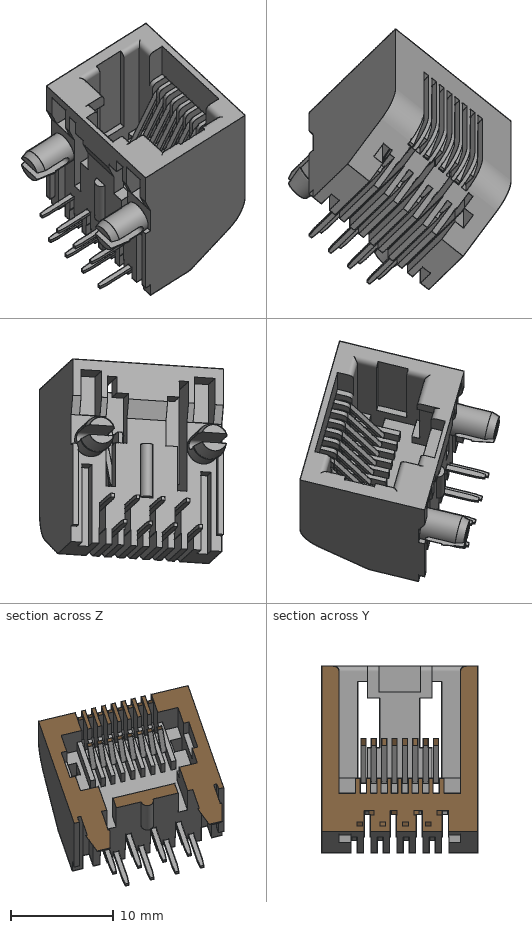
import cadquery as cq
import math


WIDTH = 15.25
DEPTH = 12.6
HEIGHT = 18.26
PANEL_Y = 0.62
FRONT_SLOPE_TOP = 14.59
FRONT_SLOPE_BOTTOM = 12.8
BOTTOM_REAR_Y = 5.62
REAR_SLOPE_TOP = 3.65
REAR_CORNER_RADIUS = 3.83

FLOOR_Z = 5.85
CAVITY_HALF_WIDTH = 5.92
CAVITY_FRONT_Y = 3.58
CAVITY_REAR_Y = 10.34
LEAD_IN_RADIUS = 0.55
SIDE_RECESS_FRONT_Y = 5.37
SIDE_RECESS_REAR_Y = 8.4
SIDE_RECESS_FLOOR = 7.3
LATCH_HALF_WIDTH = 3.15
LATCH_FRONT_Y = 1.86
LATCH_NOTCH_HALF_WIDTH = 2.0
LATCH_NOTCH_FRONT_Y = 0.45
LATCH_NOTCH_FLOOR = 15.7
CORNER_BLOCK_REAR_Y = 4.36
CORNER_BLOCK_TOP = 7.3
FLOOR_HOLE_INNER_X = 4.78
FLOOR_HOLE_FRONT_Y = 7.56
FLOOR_HOLE_REAR_Y = 8.97

CONTACT_COUNT = 8
COMB_SPAN = 7.1
COMB_SLOT_WIDTH = 0.6
COMB_HALF_WIDTH = 4.35
COMB_FRONT_Y = 5.59
COMB_REAR_Y = 11.95
COMB_TOP = 14.05
RIB_TOP = 7.3
COMB_SLOT_BOTTOM = 2.37

WINDOW_OUTER_X = 4.09
WINDOW_INNER_X = 1.97
WINDOW_OUTER_TOP = 16.75
WINDOW_INNER_TOP = 15.12
WINDOW_INNER_BOTTOM = 10.28
POCKET_INNER_X = 4.71
POCKET_OUTER_X = 6.77
POCKET_BOTTOM = 12.84
POCKET_TOP = 17.24
POCKET_REAR_Y = 2.55
EDGE_RIB_WIDTH = 0.57
EDGE_RIB_BOTTOM = 1.57
EDGE_RIB_TOP = 9.79
GROOVE_INNER_X = 5.5
GROOVE_OUTER_X = 6.54
GROOVE_TOP = 7.9
GROOVE_DEPTH = 1.46
BEAD_RADIUS = 0.62
BEAD_BOTTOM = 4.93
BEAD_TOP = 10.25

PEG_X = 5.7
PEG_Z = 10.26
PEG_RADIUS = 1.57
PEG_TIP_Y = -3.76
PEG_TIP_RADIUS = 1.31
PEG_TAPER_Y = -2.98
BARB_RADIUS = 1.66
BARB_FRONT_Y = -1.79
BARB_REAR_Y = -1.65
PEG_SLOT_WIDTH = 0.97

CONTACT_WIDTH = 0.51
CONTACT_THICKNESS = 0.37
PIN_SPAN = 8.9
PIN_TIP_Y = -3.29
PIN_TAPER_Y = -2.5
PIN_TIP_WIDTH = 0.35
UPPER_ROW_Z = 3.75
LOWER_ROW_Z = 1.19
CHANNEL_WIDTH = 0.58
CHANNEL_MOUTH_WIDTH = 0.71
CHANNEL_REAR_Y = 10.23
HUMP_RADIUS = 0.73
HUMP_TOP_Z = 12.93
HUMP_FRONT_Y = 11.01
BEAM_ANGLE = math.radians(59)
BEAM_LENGTH = 6.52
LEG_BEND_Z = 5.66
UPPER_HEEL_Y = 11.32
LOWER_HEEL_Y = 10.5
LOWER_FOOT_Z = 2.65
JOG_REAR_Y = 10.05
JOG_FRONT_Y = 8.76
RAMP_FRONT_Y = 6.57


def box(x_range, y_range, z_range):
    """Axis-aligned box between the given limits."""
    (x0, x1), (y0, y1), (z0, z1) = x_range, y_range, z_range
    return cq.Workplane("XY").box(x1 - x0, y1 - y0, z1 - z0, centered=False).translate((x0, y0, z0))


def side_profile(points, x_center, width):
    """Closed outline of (y, z) points, extruded along X about x_center."""
    return cq.Workplane("YZ", origin=(x_center, 0, 0)).polyline(points).close().extrude(width / 2, both=True)


def both_sides(solid):
    """A solid together with its mirror image across the YZ plane."""
    return solid.union(solid.mirror("YZ"))


def centered_positions(span):
    """Evenly spaced X positions, one per contact, that cover the span about X = 0."""
    pitch = span / (CONTACT_COUNT - 1)
    return [i * pitch - span / 2 for i in range(CONTACT_COUNT)]


def is_upper(index):
    """Pins alternate between the upper and the lower row."""
    return index % 2 == 0


COMB_XS = centered_positions(COMB_SPAN)
PIN_XS = centered_positions(PIN_SPAN)


def make_shell():
    outline = [
        (0, HEIGHT),
        (0, FRONT_SLOPE_TOP),
        (PANEL_Y, FRONT_SLOPE_BOTTOM),
        (PANEL_Y, 0),
        (BOTTOM_REAR_Y, 0),
        (DEPTH, REAR_SLOPE_TOP),
        (DEPTH, HEIGHT),
    ]
    shell = side_profile(outline, 0, WIDTH)
    rear_corner = cq.selectors.NearestToPointSelector((0, DEPTH, REAR_SLOPE_TOP))
    return shell.edges(rear_corner).fillet(REAR_CORNER_RADIUS)


def cut_plug_cavity(body):
    cavity_x = (-CAVITY_HALF_WIDTH, CAVITY_HALF_WIDTH)
    body = body.cut(box(cavity_x, (CAVITY_FRONT_Y, CAVITY_REAR_Y), (FLOOR_Z, HEIGHT)))
    rim_reach = 0.18
    rim = cq.selectors.BoxSelector(
        (-CAVITY_HALF_WIDTH - rim_reach, CAVITY_FRONT_Y - rim_reach, HEIGHT - rim_reach),
        (CAVITY_HALF_WIDTH + rim_reach, CAVITY_REAR_Y + rim_reach, HEIGHT + rim_reach),
    )
    body = body.edges(rim).fillet(LEAD_IN_RADIUS)

    recess_half_width = CAVITY_HALF_WIDTH + LEAD_IN_RADIUS
    body = body.cut(box(
        (-recess_half_width, recess_half_width),
        (SIDE_RECESS_FRONT_Y, SIDE_RECESS_REAR_Y),
        (SIDE_RECESS_FLOOR, HEIGHT),
    ))
    corner_block = box(
        (-CAVITY_HALF_WIDTH, -WINDOW_OUTER_X),
        (CAVITY_FRONT_Y, CORNER_BLOCK_REAR_Y),
        (FLOOR_Z, CORNER_BLOCK_TOP),
    )
    floor_hole = box(
        (-CAVITY_HALF_WIDTH, -FLOOR_HOLE_INNER_X),
        (FLOOR_HOLE_FRONT_Y, FLOOR_HOLE_REAR_Y),
        (0, FLOOR_Z),
    )
    return body.union(both_sides(corner_block)).cut(both_sides(floor_hole))


def cut_latch_opening(body):
    rim_y = LATCH_FRONT_Y - LEAD_IN_RADIUS
    opening = (
        cq.Workplane("YZ")
        .moveTo(CAVITY_REAR_Y, FLOOR_Z)
        .lineTo(LATCH_FRONT_Y, FLOOR_Z)
        .lineTo(LATCH_FRONT_Y, HEIGHT - LEAD_IN_RADIUS)
        .radiusArc((rim_y, HEIGHT), -LEAD_IN_RADIUS)
        .lineTo(CAVITY_REAR_Y, HEIGHT)
        .close()
        .extrude(LATCH_HALF_WIDTH, both=True)
    )
    notch = box(
        (-LATCH_NOTCH_HALF_WIDTH, LATCH_NOTCH_HALF_WIDTH),
        (LATCH_NOTCH_FRONT_Y, LATCH_FRONT_Y),
        (LATCH_NOTCH_FLOOR, HEIGHT),
    )
    return body.cut(opening).cut(notch)


def add_comb(body):
    comb_x = (-COMB_HALF_WIDTH, COMB_HALF_WIDTH)
    rim_y = CAVITY_REAR_Y + LEAD_IN_RADIUS
    rear_recess = (
        cq.Workplane("YZ")
        .moveTo(CAVITY_REAR_Y, HEIGHT)
        .lineTo(CAVITY_REAR_Y, COMB_TOP - LEAD_IN_RADIUS)
        .radiusArc((rim_y, COMB_TOP), LEAD_IN_RADIUS)
        .lineTo(COMB_REAR_Y, COMB_TOP)
        .lineTo(COMB_REAR_Y, HEIGHT)
        .close()
        .extrude(COMB_HALF_WIDTH, both=True)
    )
    floor_ribs = box(comb_x, (COMB_FRONT_Y, CAVITY_REAR_Y), (FLOOR_Z, RIB_TOP))
    body = body.cut(rear_recess).union(floor_ribs)
    for x in COMB_XS:
        slot_x = (x - COMB_SLOT_WIDTH / 2, x + COMB_SLOT_WIDTH / 2)
        body = body.cut(box(slot_x, (COMB_FRONT_Y, CAVITY_REAR_Y), (FLOOR_Z, RIB_TOP)))
        body = body.cut(box(slot_x, (CHANNEL_REAR_Y, DEPTH), (COMB_SLOT_BOTTOM, COMB_TOP)))
    return body


def cut_front_openings(body):
    outer_window = box((-WINDOW_OUTER_X, -LATCH_HALF_WIDTH), (0, CAVITY_FRONT_Y), (FLOOR_Z, WINDOW_OUTER_TOP))
    inner_window = box(
        (-LATCH_HALF_WIDTH, -WINDOW_INNER_X),
        (0, LATCH_FRONT_Y),
        (WINDOW_INNER_BOTTOM, WINDOW_INNER_TOP),
    )
    pocket = box((-POCKET_OUTER_X, -POCKET_INNER_X), (0, POCKET_REAR_Y), (POCKET_BOTTOM, POCKET_TOP))
    groove = box((-GROOVE_OUTER_X, -GROOVE_INNER_X), (PANEL_Y, PANEL_Y + GROOVE_DEPTH), (0, GROOVE_TOP))
    for opening in (outer_window, inner_window, pocket, groove):
        body = body.cut(both_sides(opening))
    return body


def add_front_ribs(body):
    edge_rib = box((-WIDTH / 2, -WIDTH / 2 + EDGE_RIB_WIDTH), (0, PANEL_Y), (EDGE_RIB_BOTTOM, EDGE_RIB_TOP))
    bead = (
        cq.Workplane("XY", origin=(0, PANEL_Y, BEAD_BOTTOM))
        .moveTo(-BEAD_RADIUS, 0)
        .threePointArc((0, -BEAD_RADIUS), (BEAD_RADIUS, 0))
        .close()
        .extrude(BEAD_TOP - BEAD_BOTTOM)
    )
    return body.union(both_sides(edge_rib)).union(bead)


def cut_pin_channels(body):
    for index, x in enumerate(PIN_XS):
        row_z = UPPER_ROW_Z if is_upper(index) else LOWER_ROW_Z
        half = CHANNEL_WIDTH / 2
        channel_y = (PANEL_Y, CHANNEL_REAR_Y)
        body = body.cut(box((x - half, x + half), channel_y, (0, row_z + CONTACT_THICKNESS)))
        if is_upper(index):
            mouth_half = CHANNEL_MOUTH_WIDTH / 2
            mouth_top = LOWER_ROW_Z + CONTACT_THICKNESS
            body = body.cut(box((x - mouth_half, x + mouth_half), channel_y, (0, mouth_top)))
    return body


def peg_half(side_points, z_range):
    """Half of a peg: (radius, y) points revolved about the peg axis, kept within z_range."""
    points = [(0, PANEL_Y), *side_points, (0, PEG_TIP_Y)]
    turned = cq.Workplane("XY").polyline(points).close().revolve(360, (0, 0), (0, 1))
    reach = (-BARB_RADIUS, BARB_RADIUS)
    return turned.intersect(box(reach, (PEG_TIP_Y, PANEL_Y), z_range))


def make_peg():
    plain = [(PEG_RADIUS, PANEL_Y), (PEG_RADIUS, PEG_TAPER_Y), (PEG_TIP_RADIUS, PEG_TIP_Y)]
    barbed = [
        (PEG_RADIUS, PANEL_Y),
        (PEG_RADIUS, BARB_REAR_Y),
        (BARB_RADIUS, BARB_REAR_Y),
        (BARB_RADIUS, BARB_FRONT_Y),
        (PEG_TIP_RADIUS, PEG_TIP_Y),
    ]
    peg = peg_half(plain, (0, BARB_RADIUS)).union(peg_half(barbed, (-BARB_RADIUS, 0)))

    half_slot = PEG_SLOT_WIDTH / 2
    slot = (
        cq.Workplane("YZ")
        .moveTo(PEG_TIP_Y, half_slot)
        .lineTo(-half_slot, half_slot)
        .threePointArc((0, 0), (-half_slot, -half_slot))
        .lineTo(PEG_TIP_Y, -half_slot)
        .close()
        .extrude(BARB_RADIUS, both=True)
    )
    return peg.cut(slot).translate((-PEG_X, 0, PEG_Z))


def make_housing():
    body = make_shell()
    body = cut_plug_cavity(body)
    body = cut_latch_opening(body)
    body = add_comb(body)
    body = cut_front_openings(body)
    body = add_front_ribs(body)
    body = cut_pin_channels(body)
    return body.union(both_sides(make_peg()))


def make_spring(x, foot_z, heel_y):
    """Spring beam, hump, rear leg and foot, all in one YZ plane."""
    center_z = HUMP_TOP_Z - HUMP_RADIUS
    inner_radius = HUMP_RADIUS - CONTACT_THICKNESS
    leg_y = COMB_REAR_Y
    hump_rear_y = leg_y - HUMP_RADIUS
    along = (math.cos(BEAM_ANGLE), math.sin(BEAM_ANGLE))

    def beam_point(radius, distance):
        """Point on the beam face that continues the arc of this radius, down from the hump."""
        y = HUMP_FRONT_Y - radius * along[1] - distance * along[0]
        z = center_z + radius * along[0] - distance * along[1]
        return (y, z)

    return (
        cq.Workplane("YZ", origin=(x, 0, 0))
        .moveTo(*beam_point(HUMP_RADIUS, BEAM_LENGTH))
        .lineTo(*beam_point(HUMP_RADIUS, 0))
        .radiusArc((HUMP_FRONT_Y, HUMP_TOP_Z), HUMP_RADIUS)
        .lineTo(hump_rear_y, HUMP_TOP_Z)
        .radiusArc((leg_y, center_z), HUMP_RADIUS)
        .lineTo(leg_y, LEG_BEND_Z)
        .lineTo(heel_y, foot_z)
        .lineTo(JOG_REAR_Y, foot_z)
        .lineTo(JOG_REAR_Y, foot_z + CONTACT_THICKNESS)
        .lineTo(heel_y - CONTACT_THICKNESS, foot_z + CONTACT_THICKNESS)
        .lineTo(leg_y - CONTACT_THICKNESS, LEG_BEND_Z)
        .lineTo(leg_y - CONTACT_THICKNESS, center_z)
        .radiusArc((hump_rear_y, center_z + inner_radius), -inner_radius)
        .lineTo(HUMP_FRONT_Y, center_z + inner_radius)
        .radiusArc(beam_point(inner_radius, 0), -inner_radius)
        .lineTo(*beam_point(inner_radius, BEAM_LENGTH))
        .close()
        .extrude(CONTACT_WIDTH / 2, both=True)
    )


def make_jog(comb_x, pin_x, foot_z):
    """Flat strip that carries the foot sideways from the comb slot to the pin."""
    half = CONTACT_WIDTH / 2
    return (
        cq.Workplane("XY", origin=(0, 0, foot_z))
        .polyline([
            (comb_x - half, JOG_REAR_Y),
            (comb_x + half, JOG_REAR_Y),
            (pin_x + half, JOG_FRONT_Y),
            (pin_x - half, JOG_FRONT_Y),
        ])
        .close()
        .extrude(CONTACT_THICKNESS)
    )


def make_ramp(x, foot_z, row_z):
    """Sloping strip from the foot down to the lower row of pins."""
    outline = [
        (JOG_FRONT_Y, foot_z),
        (JOG_FRONT_Y, foot_z + CONTACT_THICKNESS),
        (RAMP_FRONT_Y, row_z + CONTACT_THICKNESS),
        (RAMP_FRONT_Y, row_z),
    ]
    return side_profile(outline, x, CONTACT_WIDTH)


def make_pin(x, rear_y, row_z):
    """Straight pin with a tapered tip."""
    half = CONTACT_WIDTH / 2
    half_tip = PIN_TIP_WIDTH / 2
    return (
        cq.Workplane("XY", origin=(x, 0, row_z))
        .polyline([
            (-half, rear_y),
            (-half, PIN_TAPER_Y),
            (-half_tip, PIN_TIP_Y),
            (half_tip, PIN_TIP_Y),
            (half, PIN_TAPER_Y),
            (half, rear_y),
        ])
        .close()
        .extrude(CONTACT_THICKNESS)
    )


def make_contact(index):
    comb_x = COMB_XS[index]
    pin_x = PIN_XS[index]
    if is_upper(index):
        spring = make_spring(comb_x, UPPER_ROW_Z, UPPER_HEEL_Y)
        jog = make_jog(comb_x, pin_x, UPPER_ROW_Z)
        return spring.union(jog).union(make_pin(pin_x, JOG_FRONT_Y, UPPER_ROW_Z))
    spring = make_spring(comb_x, LOWER_FOOT_Z, LOWER_HEEL_Y)
    jog = make_jog(comb_x, pin_x, LOWER_FOOT_Z)
    ramp = make_ramp(pin_x, LOWER_FOOT_Z, LOWER_ROW_Z)
    return spring.union(jog).union(ramp).union(make_pin(pin_x, RAMP_FRONT_Y, LOWER_ROW_Z))


contacts = [make_contact(index) for index in range(CONTACT_COUNT)]
housing = make_housing()
for contact in contacts:
    housing = housing.cut(contact)

result = cq.Compound.makeCompound([housing.solids().val(), *[contact.solids().val() for contact in contacts]])